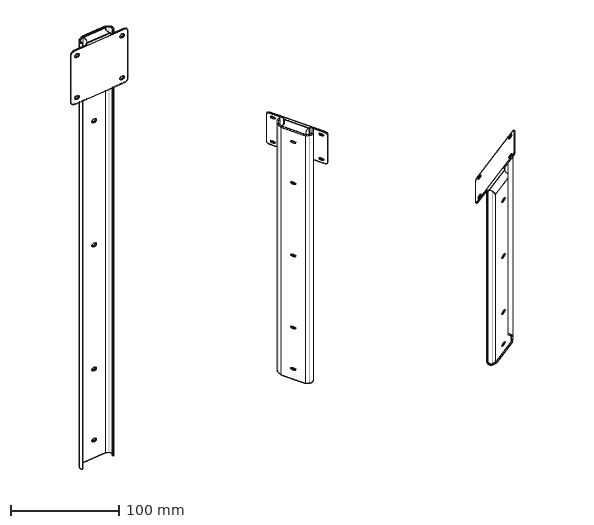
import cadquery as cq
import math

rail_length = 609.6
sheet = 1.4
web_half_width = 12.0
facet_end_y = 15.7
flange_radius = 4.2
flange_half_width = 17.9
flange_center_x = 5.4
lip_angle = 45.0
rail_hole_diameter = 5.0
rail_hole_end_distances = [25.4, 127.0]

carriage_front_x = 11.2
carriage_drop = 1.4
plate_thickness = 1.2
plate_width = 60.4
plate_height = 76.6
plate_corner_radius = 4.2
plate_hole_diameter = 4.8
plate_hole_pitch_y = 48.0
plate_hole_pitch_z = 60.0
pad_width = 26.0
pad_thickness = 1.2
block_width = 24.6
block_waist_width = 22.0
block_web_clearance = 0.3
block_overhang = 0.9

carriage_top_z = rail_length - carriage_drop
carriage_bottom_z = carriage_top_z - plate_height
carriage_center_z = carriage_top_z - plate_height / 2
plate_back_x = carriage_front_x - plate_thickness
pad_back_x = plate_back_x - pad_thickness
block_base_x = sheet + block_web_clearance

flange_center_y = flange_half_width - flange_radius
facet_turn = math.degrees(math.acos((facet_end_y - flange_center_y) / flange_radius))


def flange_point(radius, angle, side):
    """Point on a flange arc; the angle runs from its widest point toward the lip."""
    turn = math.radians(angle)
    x = flange_center_x + radius * math.sin(turn)
    y = flange_center_y + radius * math.cos(turn)
    return (x, side * y)


def make_rail():
    outer = flange_radius
    inner = flange_radius - sheet
    rail = (
        cq.Workplane("XY")
        .moveTo(*flange_point(outer, lip_angle, -1))
        .threePointArc(flange_point(outer, 0, -1), flange_point(outer, -facet_turn, -1))
        .lineTo(0, -web_half_width)
        .lineTo(0, web_half_width)
        .lineTo(*flange_point(outer, -facet_turn, 1))
        .threePointArc(flange_point(outer, 0, 1), flange_point(outer, lip_angle, 1))
        .lineTo(*flange_point(inner, lip_angle, 1))
        .threePointArc(flange_point(inner, 0, 1), flange_point(inner, -facet_turn, 1))
        .lineTo(sheet, web_half_width)
        .lineTo(sheet, -web_half_width)
        .lineTo(*flange_point(inner, -facet_turn, -1))
        .threePointArc(flange_point(inner, 0, -1), flange_point(inner, lip_angle, -1))
        .close()
        .extrude(rail_length)
    )
    hole_heights = [rail_length / 2]
    for distance in rail_hole_end_distances:
        hole_heights += [distance, rail_length - distance]
    holes = (
        cq.Workplane("YZ")
        .pushPoints([(0, height) for height in hole_heights])
        .circle(rail_hole_diameter / 2)
        .extrude(sheet)
    )
    return rail.cut(holes)


def make_plate():
    plane = cq.Workplane("YZ", origin=(plate_back_x, 0, carriage_center_z))
    blank = (
        plane.rect(plate_width, plate_height)
        .extrude(plate_thickness)
        .edges("|X")
        .fillet(plate_corner_radius)
    )
    holes = (
        plane.rect(plate_hole_pitch_y, plate_hole_pitch_z, forConstruction=True)
        .vertices()
        .circle(plate_hole_diameter / 2)
        .extrude(plate_thickness)
    )
    return blank.cut(holes)


def make_pad():
    return (
        cq.Workplane("YZ", origin=(pad_back_x, 0, carriage_center_z))
        .rect(pad_width, plate_height)
        .extrude(pad_thickness)
    )


def make_block():
    half_width = block_width / 2
    half_waist = block_waist_width / 2
    waist_x = (block_base_x + pad_back_x) / 2
    return (
        cq.Workplane("XY", origin=(0, 0, carriage_bottom_z - block_overhang))
        .moveTo(block_base_x, -half_width)
        .lineTo(block_base_x, half_width)
        .threePointArc((waist_x, half_waist), (pad_back_x, half_width))
        .lineTo(pad_back_x, -half_width)
        .threePointArc((waist_x, -half_waist), (block_base_x, -half_width))
        .close()
        .extrude(plate_height + 2 * block_overhang)
    )


rail = make_rail()
carriage = make_plate().union(make_pad()).union(make_block())
result = cq.Compound.makeCompound([rail.val(), carriage.val()])